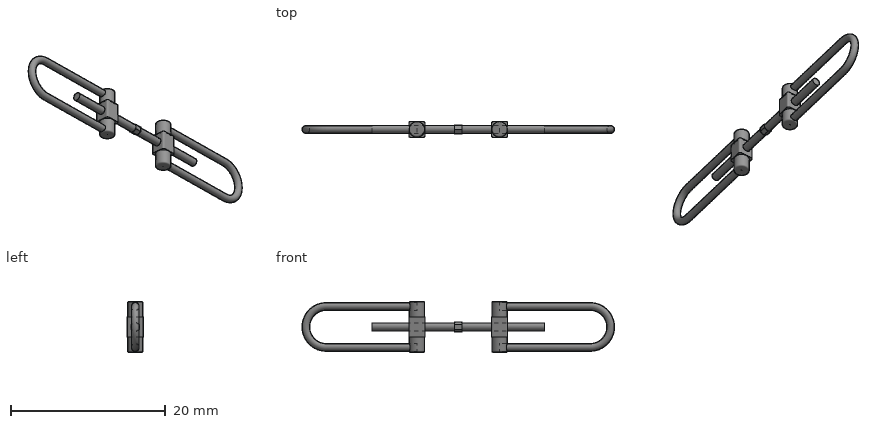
import cadquery as cq
import math

total_length = 40.37
hub_height = 6.56

wire_diameter = 1.0
bend_radius = 2.65
bend_centre_x = total_length / 2 - bend_radius - wire_diameter / 2

hub_x = 5.34
post_diameter = 2.0
post_end_fillet = 0.2
block_width = 2.1
block_height = 2.6
block_corner_fillet = 0.25

rod_diameter = 1.08
rod_outer_end_x = 11.16
grip_length = 0.92
grip_across_flats = 1.12
grip_across_corners = grip_across_flats / math.cos(math.radians(30))


def make_bow(side):
    """U-shaped wire whose two legs end on the axis of the hub post."""
    path = (
        cq.Workplane("XZ")
        .moveTo(side * hub_x, bend_radius)
        .lineTo(side * bend_centre_x, bend_radius)
        .threePointArc(
            (side * (bend_centre_x + bend_radius), 0),
            (side * bend_centre_x, -bend_radius),
        )
        .lineTo(side * hub_x, -bend_radius)
    )
    start = (side * hub_x, 0, bend_radius)
    return cq.Workplane("YZ", origin=start).circle(wire_diameter / 2).sweep(path)


def make_rod(side):
    """Round rod along X, from the face of the grip out through the hub."""
    inner_end_x = grip_length / 2
    return (
        cq.Workplane("YZ", origin=(side * inner_end_x, 0, 0))
        .circle(rod_diameter / 2)
        .extrude(side * (rod_outer_end_x - inner_end_x))
    )


def make_grip():
    """Hexagonal prism along X with two of its corners pointing up and down."""
    return (
        cq.Workplane("YZ")
        .transformed(rotate=(0, 0, 90))
        .polygon(6, grip_across_corners)
        .extrude(grip_length / 2, both=True)
    )


def make_post(side):
    """Upright round post with rounded end rims."""
    return (
        cq.Workplane("XY", origin=(side * hub_x, 0, 0))
        .circle(post_diameter / 2)
        .extrude(hub_height / 2, both=True)
        .faces("|Z")
        .edges()
        .fillet(post_end_fillet)
    )


def make_block(side):
    """Square block with rounded upright corners."""
    return (
        cq.Workplane("XY", origin=(side * hub_x, 0, 0))
        .rect(block_width, block_width)
        .extrude(block_height / 2, both=True)
        .edges("|Z")
        .fillet(block_corner_fillet)
    )


def make_hub(side, bow, rod):
    """Post and block in one piece, with sockets for the bow legs and a through hole for the rod."""
    return make_post(side).union(make_block(side)).cut(bow).cut(rod)


grip = make_grip()
bodies = [grip.solids().val()]
for side in (-1, 1):
    bow = make_bow(side)
    rod = make_rod(side)
    hub = make_hub(side, bow, rod)
    bodies += [bow.val(), rod.val(), hub.solids().val()]

result = cq.Compound.makeCompound(bodies)